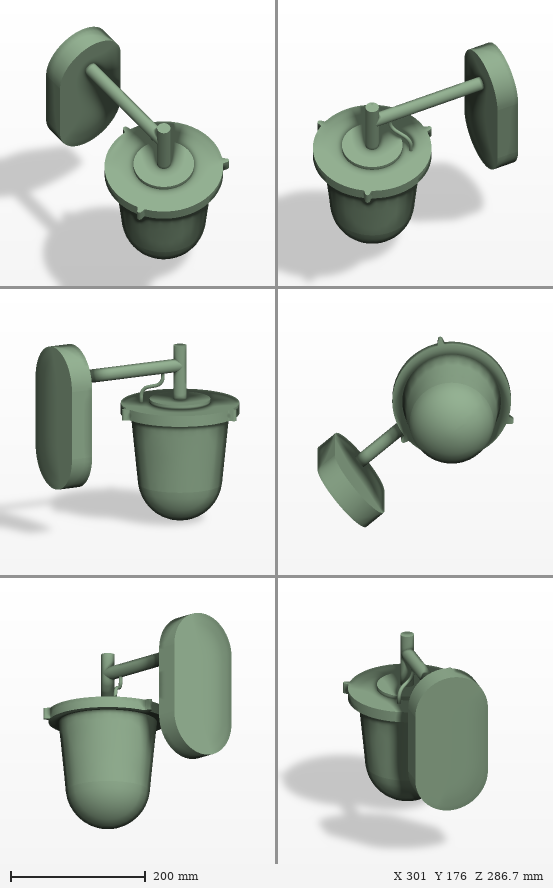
import cadquery as cq
import math


LID_DIAMETER = 176.0
LID_THICKNESS = 16.3
LUG_ANGLES = (60, 180, 300)
LUG_REACH = 97.3
LUG_TIP_RADIUS = 3.5
LUG_TAPER = 15
LUG_OVERLAP = 9.0
LUG_ROOT_FILLET = 2.0
RIM_TOLERANCE = 0.03

OVERALL_LENGTH = 301.0
PLATE_THICKNESS = 34.0
PLATE_WIDTH = 113.2
PLATE_HEIGHT = 216.0
PLATE_TOP_Z = 51.2

TUBE_DIAMETER = 20.0
STEM_TOP_Z = 30.0

CAP_DIAMETER = 90.0
CAP_THICKNESS = 6.0
CAP_TOP_Z = -51.2

SHADE_TOP_DIAMETER = 146.3
SHADE_RIM_DIAMETER = 124.7
SHADE_TAPER_HEIGHT = 106.5
DOME_DEPTH = 55.5
DOME_MIDDLE_ANGLE = 45

CORD_DIAMETER = 5.5
CORD_FOOT_X = -49.7
CORD_FOOT_Y = 29.0
CORD_HEAD_X = -29.0
CORD_LOWER_KNEE_Z = -35.8
CORD_UPPER_KNEE_Z = -26.2
CORD_BEND_LENGTH = 11.7

LID_RADIUS = LID_DIAMETER / 2
LID_TOP_Z = CAP_TOP_Z - CAP_THICKNESS
LID_BOTTOM_Z = LID_TOP_Z - LID_THICKNESS
PLATE_BACK_X = LID_RADIUS - OVERALL_LENGTH
PLATE_FRONT_X = PLATE_BACK_X + PLATE_THICKNESS


def make_wall_plate():
    center_z = PLATE_TOP_Z - PLATE_HEIGHT / 2
    return (
        cq.Workplane("YZ", origin=(PLATE_BACK_X, 0, center_z))
        .slot2D(PLATE_HEIGHT, PLATE_WIDTH, angle=90)
        .extrude(PLATE_THICKNESS)
    )


def make_arm():
    """Horizontal rod from the wall plate to the stem axis."""
    return (
        cq.Workplane("YZ", origin=(PLATE_FRONT_X, 0, 0))
        .circle(TUBE_DIAMETER / 2)
        .extrude(-PLATE_FRONT_X)
    )


def make_bracket():
    stem = (
        cq.Workplane("XY", origin=(0, 0, CAP_TOP_Z))
        .circle(TUBE_DIAMETER / 2)
        .extrude(STEM_TOP_Z - CAP_TOP_Z)
    )
    return stem.union(make_arm())


def make_cap():
    return (
        cq.Workplane("XY", origin=(0, 0, LID_TOP_Z))
        .circle(CAP_DIAMETER / 2)
        .extrude(CAP_THICKNESS)
    )


def make_lug(angle):
    """Tapered lug with a rounded tip, pointing outward at the given angle."""
    taper = math.radians(LUG_TAPER)
    tip_center = LUG_REACH - LUG_TIP_RADIUS
    shoulder_x = tip_center + LUG_TIP_RADIUS * math.sin(taper)
    shoulder_y = LUG_TIP_RADIUS * math.cos(taper)
    root_x = LID_RADIUS - LUG_OVERLAP
    root_y = shoulder_y + (shoulder_x - root_x) * math.tan(taper)
    return (
        cq.Workplane("XY", origin=(0, 0, LID_BOTTOM_Z))
        .moveTo(root_x, -root_y)
        .lineTo(shoulder_x, -shoulder_y)
        .threePointArc((LUG_REACH, 0), (shoulder_x, shoulder_y))
        .lineTo(root_x, root_y)
        .close()
        .extrude(LID_THICKNESS)
        .rotate((0, 0, 0), (0, 0, 1), angle)
    )


def lies_on_rim(edge):
    center = edge.Center()
    return math.isclose(math.hypot(center.x, center.y), LID_RADIUS, abs_tol=RIM_TOLERANCE)


def make_lid():
    lid = (
        cq.Workplane("XY", origin=(0, 0, LID_BOTTOM_Z))
        .circle(LID_RADIUS)
        .extrude(LID_THICKNESS)
    )
    for angle in LUG_ANGLES:
        lid = lid.union(make_lug(angle))

    return lid.edges("|Z").filter(lies_on_rim).fillet(LUG_ROOT_FILLET)


def make_shade():
    top_radius = SHADE_TOP_DIAMETER / 2
    rim_radius = SHADE_RIM_DIAMETER / 2
    rim_z = LID_BOTTOM_Z - SHADE_TAPER_HEIGHT
    bottom_z = rim_z - DOME_DEPTH
    dome_radius = (rim_radius**2 + DOME_DEPTH**2) / (2 * DOME_DEPTH)
    middle_angle = math.radians(DOME_MIDDLE_ANGLE)
    dome_middle = (
        dome_radius * math.sin(middle_angle),
        bottom_z + dome_radius * (1 - math.cos(middle_angle)),
    )
    return (
        cq.Workplane("XZ")
        .moveTo(0, LID_BOTTOM_Z)
        .lineTo(top_radius, LID_BOTTOM_Z)
        .lineTo(rim_radius, rim_z)
        .threePointArc(dome_middle, (0, bottom_z))
        .close()
        .revolve(360, (0, 0, 0), (0, 1, 0))
    )


def make_cord():
    """Round cord swept along an S-bend, trimmed to the underside of the arm."""
    run_x = CORD_HEAD_X - CORD_FOOT_X
    run_y = -CORD_FOOT_Y
    run = math.hypot(run_x, run_y)
    slope = math.atan2(CORD_UPPER_KNEE_Z - CORD_LOWER_KNEE_Z, run)
    bend_run = CORD_BEND_LENGTH * math.cos(slope)
    bend_rise = CORD_BEND_LENGTH * math.sin(slope)

    foot = cq.Vector(CORD_FOOT_X, CORD_FOOT_Y, 0)
    upright = cq.Plane(origin=foot, xDir=(run_x, run_y, 0), normal=(run_y, -run_x, 0))
    path = (
        cq.Workplane(upright)
        .moveTo(0, LID_TOP_Z)
        .lineTo(0, CORD_LOWER_KNEE_Z - CORD_BEND_LENGTH)
        .tangentArcPoint((bend_run, CORD_LOWER_KNEE_Z + bend_rise), relative=False)
        .lineTo(run - bend_run, CORD_UPPER_KNEE_Z - bend_rise)
        .tangentArcPoint((run, CORD_UPPER_KNEE_Z + CORD_BEND_LENGTH), relative=False)
        .lineTo(run, 0)
    )
    cord = (
        cq.Workplane("XY", origin=(CORD_FOOT_X, CORD_FOOT_Y, LID_TOP_Z))
        .circle(CORD_DIAMETER / 2)
        .sweep(path)
    )
    return cord.cut(make_arm())


wall_plate = make_wall_plate()
bracket = make_bracket()
cap = make_cap()
lid = make_lid()
shade = make_shade()
cord = make_cord()

bodies = (wall_plate, bracket, cap, lid, shade, cord)
result = cq.Compound.makeCompound([body.solids().val() for body in bodies])